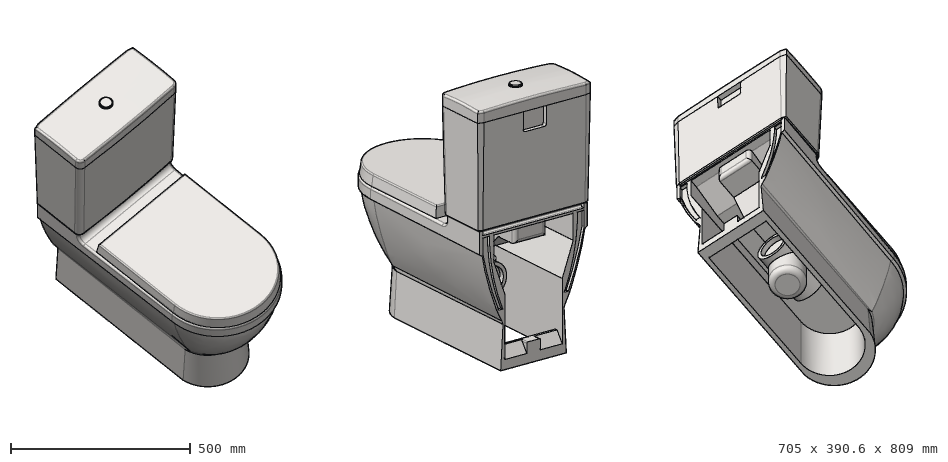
import cadquery as cq
import math


foot_top = 137.5
rim_bottom = 364.0
rim_top = 401.0
tank_bottom = 433.5
tank_top = 761.0
lid_height = 42.0
lid_top = tank_top + lid_height
total_height = 809.0

margin = 8.0

pan_back = 7.0
rim_tip = 705.0
rim_back_half = 187.0
rim_front_half = 179.5
rim_edge_round = 7.0
rim_underside_height = 6.0
rim_arc_start = rim_tip - rim_front_half
rim_plan = (rim_back_half, rim_front_half, rim_arc_start, rim_tip)
bowl_arc_start = 522.5
bowl_sections = [
    (rim_bottom - rim_underside_height, 178.0, 696.0),
    (313.0, 169.0, 691.5),
    (264.0, 155.0, 674.5),
    (214.0, 139.0, 650.0),
    (149.0, 110.0, 599.0),
]
foot_top_half = 106.0
foot_top_tip = 594.5
foot_half = 114.0
foot_tip = 603.0
foot_arc_start = 504.0
neck_front = 164.0
neck_round = 20.0
ledge_half = 175.5
ledge_depth = 14.0
ledge_floor = 420.0
ledge_round = 5.0

cavity_half = 137.5
cavity_top = 412.5
cavity_bend = 331.5
cavity_waist = 226.5
foot_cavity_half = 99.5
cavity_front = 372.0
foot_cavity_tip = 566.0
foot_cavity_arc_start = foot_cavity_tip - foot_cavity_half
roof_front = 385.0
roof_slope_start = 32.0
roof_slope_end = 129.0
belly_ridge = 226.5
belly_low_ridge = 267.0
belly_top = 335.0
slot_depth = 10.0
slot_top_outer = 175.5
slot_top_inner = 152.0
slot_shoulder = 384.0
slot_middle = 148.0
slot_middle_height = 287.0
slot_half_width = 9.0
slot_bottom = 183.5
slot_tip_outer = 120.5
slot_tip_inner = 107.0
inlet_back = 21.0
inlet_half = 56.0
inlet_bottom = 360.0
inlet_round = 12.0
inlet_tail_back = 97.0
inlet_tail_low = 145.5
inlet_tail_bottom = 311.0

outlet_diameter = 103.0
outlet_bore = 80.0
outlet_bore_depth = 16.0
outlet_back = 202.0
outlet_height = 184.0
trap_leg_bottom = 65.0
trap_leg_diameter = 107.0
trap_leg_round = 19.0

sill_height = 65.0
sill_step = 31.0
sill_slope_length = 24.0
sill_flat = 8.0
sill_block_half = 23.5
sill_block_round = 3.0

cover_back = 226.5
cover_tip = 702.0
cover_half = 175.5
cover_arc_start = cover_tip - cover_half
cover_height = 35.5
cover_draft = 5.0
cover_edge_round = 4.0

tank_back = 0.0
tank_front = 187.0
tank_half = 195.3
tank_base_back = 6.0
tank_base_front = 179.0
tank_base_half = 191.0
tank_bulge = 5.0
tank_back_bevel_depth = 5.0
tank_back_half = 177.0
tank_base_bevel = 3.0
tank_front_round = 19.0
finger_recess_width = 79.0
finger_recess_height = 61.5
finger_recess_depth = 10.0
finger_recess_round = 6.5
lid_crown = 4.0
lid_crown_radius = 1051.0
lid_edge_round = 6.5

button_x = 91.0
button_diameter = 40.0
button_cap_diameter = 34.0
button_seat = 792.5
button_step = 805.0


def d_outline(z, back, back_half, front_half, arc_start, tip):
    """Plan outline at height z: straight back, sides to arc_start, one arc round the front tip."""
    return (
        cq.Workplane("XY", origin=(0, 0, z))
        .moveTo(back, -back_half)
        .lineTo(arc_start, -front_half)
        .threePointArc((tip, 0), (arc_start, front_half))
        .lineTo(back, back_half)
        .close()
        .val()
    )


def loft(outlines, ruled=False):
    return cq.Workplane(obj=cq.Solid.makeLoft(outlines, ruled))


def box(x_range, half_width, z_range):
    """Box centred on Y between the given X and Z limits."""
    length = x_range[1] - x_range[0]
    height = z_range[1] - z_range[0]
    return (
        cq.Workplane("XY", origin=(x_range[0], 0, z_range[0]))
        .box(length, 2 * half_width, height, centered=(False, True, False))
    )


def side_prism(points, half_width):
    """Prism across Y from an XZ outline."""
    return cq.Workplane("XZ").polyline(points).close().extrude(half_width, both=True)


def rim_and_neck():
    """Rim with the raised neck that carries the tank, joined by a hollow round."""
    hollow = neck_round * (1 - math.sqrt(0.5))
    profile = (
        cq.Workplane("XZ")
        .moveTo(pan_back, rim_bottom)
        .lineTo(rim_tip, rim_bottom)
        .lineTo(rim_tip, rim_top)
        .lineTo(neck_front + neck_round, rim_top)
        .threePointArc((neck_front + hollow, rim_top + hollow), (neck_front, rim_top + neck_round))
        .lineTo(neck_front, tank_bottom)
        .lineTo(pan_back, tank_bottom)
        .close()
        .extrude(rim_back_half, both=True)
    )
    plan = loft([d_outline(z, pan_back, *rim_plan) for z in (rim_bottom, tank_bottom)], ruled=True)
    upper_edges = cq.selectors.BoxSelector(
        (neck_front - margin, -rim_back_half - margin, rim_top - margin),
        (rim_tip + margin, rim_back_half + margin, tank_bottom - margin),
    )
    return profile.intersect(plan).edges(upper_edges).edges("not |Y").fillet(rim_edge_round)


def bowl_outline(section):
    z, half, tip = section
    front_half = half * rim_front_half / rim_back_half
    return d_outline(z, pan_back, half, front_half, bowl_arc_start, tip)


def foot_outline(z, half, tip):
    return d_outline(z, pan_back, half, half, foot_arc_start, tip)


def pan_outside():
    """Rim, bowl and foot, with a narrow sloping band at the top and bottom of the bowl."""
    foot_base = foot_outline(0, foot_half, foot_tip)
    foot_crest = foot_outline(foot_top, foot_top_half, foot_top_tip)
    bowl = loft([bowl_outline(section) for section in bowl_sections])
    upper_band = loft([d_outline(rim_bottom, pan_back, *rim_plan), bowl_outline(bowl_sections[0])],
                      ruled=True)
    lower_band = loft([bowl_outline(bowl_sections[-1]), foot_crest], ruled=True)
    foot = loft([foot_crest, foot_base], ruled=True)
    return rim_and_neck().union(upper_band).union(bowl).union(lower_band).union(foot)


def back_ledge():
    """Notch along the upper back edge, under the tank."""
    notch = box((pan_back, pan_back + ledge_depth), ledge_half, (ledge_floor, tank_bottom))
    return notch.edges("|Y and >X and <Z").fillet(ledge_round)


def belly_outline(z, ridge):
    """Triangle at height z whose point is the ridge down the back of the bowl."""
    return (
        cq.Workplane("XY", origin=(0, 0, z))
        .polyline([(ridge, 0), (cavity_front, -cavity_half), (cavity_front, cavity_half)])
        .close()
        .val()
    )


def upper_cavity():
    """Hollow behind the bowl, with a sloping roof and a ridged bowl back."""
    hollow = (
        cq.Workplane("YZ", origin=(pan_back, 0, 0))
        .polyline([
            (-foot_cavity_half, cavity_waist), (foot_cavity_half, cavity_waist),
            (cavity_half, cavity_bend), (cavity_half, cavity_top),
            (-cavity_half, cavity_top), (-cavity_half, cavity_bend),
        ])
        .close()
        .extrude(cavity_front - pan_back)
    )
    roof = side_prism([(roof_slope_start, cavity_top), (roof_slope_end, roof_front),
                       (cavity_front, roof_front), (cavity_front, cavity_top)], cavity_half)
    belly = loft([belly_outline(cavity_waist, belly_low_ridge), belly_outline(belly_top, belly_ridge)],
                 ruled=True)
    return hollow.cut(roof).cut(belly)


def foot_cavity():
    """Hollow of the foot, open at the floor and the back."""
    plan = (foot_cavity_half, foot_cavity_half, foot_cavity_arc_start, foot_cavity_tip)
    return loft([d_outline(z, pan_back, *plan) for z in (0, cavity_waist)], ruled=True)


def wall_slot():
    """Curved slot in the back end of the +Y side wall."""
    return (
        cq.Workplane("YZ", origin=(pan_back, 0, 0))
        .moveTo(slot_top_outer, cavity_top)
        .lineTo(slot_top_outer, rim_bottom)
        .threePointArc((slot_middle + slot_half_width, slot_middle_height), (slot_tip_outer, slot_bottom))
        .lineTo(slot_tip_inner, slot_bottom)
        .threePointArc((slot_middle - slot_half_width, slot_middle_height), (slot_top_inner, slot_shoulder))
        .lineTo(slot_top_inner, cavity_top)
        .close()
        .extrude(slot_depth)
    )


def water_inlet():
    """Flush channel that hangs from the cavity roof."""
    channel = box((inlet_back, roof_slope_end), inlet_half, (inlet_bottom, cavity_top))
    channel = channel.edges("<X and (not >Z)").fillet(inlet_round)
    tail = side_prism([(inlet_tail_back, inlet_bottom), (inlet_tail_low, inlet_tail_bottom),
                       (belly_low_ridge, inlet_tail_bottom), (belly_low_ridge, roof_front),
                       (inlet_tail_back, roof_front)], inlet_half)
    return channel.union(tail)


def trap():
    """Horizontal outlet and the vertical leg below it."""
    pipe = (
        cq.Workplane("YZ", origin=(outlet_back, 0, 0))
        .center(0, outlet_height)
        .circle(outlet_diameter / 2)
        .extrude(cavity_front - outlet_back)
    )
    bore = (
        cq.Workplane("YZ", origin=(outlet_back, 0, 0))
        .center(0, outlet_height)
        .circle(outlet_bore / 2)
        .extrude(outlet_bore_depth)
    )
    leg_x = outlet_back + outlet_bore_depth + trap_leg_diameter / 2
    leg = (
        cq.Workplane("XY", origin=(leg_x, 0, trap_leg_bottom))
        .circle(trap_leg_diameter / 2)
        .extrude(cavity_waist - trap_leg_bottom)
        .faces("<Z")
        .edges()
        .fillet(trap_leg_round)
    )
    return pipe.union(leg).cut(bore)


def sill():
    """Bar across the back of the foot with a sloping top and a block in its middle."""
    slope_end = pan_back + sill_slope_length
    sill_front = slope_end + sill_flat
    bar = side_prism([(pan_back, 0), (pan_back, sill_step), (slope_end, sill_height),
                      (sill_front, sill_height), (sill_front, 0)], foot_cavity_half)
    block = box((pan_back, sill_front), sill_block_half, (0, sill_height))
    return bar.union(block.edges("|X and >Z").fillet(sill_block_round))


def make_pan():
    pan = pan_outside().cut(back_ledge()).cut(upper_cavity()).cut(foot_cavity())
    slot = wall_slot()
    pan = pan.cut(slot).cut(slot.mirror("XZ"))
    return pan.union(water_inlet()).union(trap()).union(sill())


def make_cover():
    bottom = d_outline(rim_top, cover_back, cover_half, cover_half, cover_arc_start, cover_tip)
    top_half = cover_half - cover_draft
    top = d_outline(rim_top + cover_height, cover_back + cover_draft, top_half, top_half,
                    cover_arc_start, cover_tip - cover_draft)
    return loft([bottom, top], ruled=True).faces(">Z").edges().fillet(cover_edge_round)


def tank_outline(z, back, front, half):
    """Plan outline of the tank at height z: bevelled back corners and a bulging front."""
    side_back = back + tank_back_bevel_depth
    side_front = front - tank_bulge
    return (
        cq.Workplane("XY", origin=(0, 0, z))
        .moveTo(back, -tank_back_half)
        .lineTo(side_back, -half)
        .lineTo(side_front, -half)
        .threePointArc((front, 0), (side_front, half))
        .lineTo(side_back, half)
        .lineTo(back, tank_back_half)
        .close()
        .val()
    )


def round_front_corners(body, bottom, top):
    """Round the two upright front corners of the tank or the lid."""
    middle = (bottom + top) / 2
    uprights = cq.selectors.BoxSelector(
        (button_x, -tank_half - margin, middle - margin),
        (tank_front + margin, tank_half + margin, middle + margin),
    )
    return body.edges(uprights).fillet(tank_front_round)


def make_tank():
    bottom = tank_outline(tank_bottom, tank_base_back, tank_base_front, tank_base_half)
    top = tank_outline(tank_top, tank_back, tank_front, tank_half)
    tank = loft([bottom, top], ruled=True)
    tank = round_front_corners(tank, tank_bottom, tank_top)
    tank = tank.faces("<Z").edges().chamfer(tank_base_bevel)
    recess = box((tank_back - margin, tank_base_back + finger_recess_depth), finger_recess_width / 2,
                 (tank_top - finger_recess_height, tank_top))
    return tank.cut(recess.edges("|X and <Z").fillet(finger_recess_round))


def make_lid():
    plan = (tank_back, tank_front, tank_half)
    lid = loft([tank_outline(z, *plan) for z in (tank_top, lid_top)], ruled=True)
    lid = round_front_corners(lid, tank_top, lid_top)
    middle_x = (tank_back + tank_front) / 2
    crown_axis = lid_top - lid_crown_radius
    crown = (
        cq.Workplane("YZ", origin=(middle_x, 0, 0))
        .moveTo(-tank_half, crown_axis)
        .lineTo(-tank_half, lid_top - lid_crown)
        .threePointArc((0, lid_top), (tank_half, lid_top - lid_crown))
        .lineTo(tank_half, crown_axis)
        .close()
        .revolve(360, (-tank_half, crown_axis), (tank_half, crown_axis))
    )
    lid = lid.intersect(crown)
    lid = lid.faces(">Z").edges().fillet(lid_edge_round)
    pocket = (
        cq.Workplane("XY", origin=(button_x, 0, button_seat))
        .circle(button_diameter / 2)
        .extrude(lid_height)
    )
    return lid.cut(pocket)


def make_button():
    return (
        cq.Workplane("XY", origin=(button_x, 0, button_seat))
        .circle(button_diameter / 2)
        .extrude(button_step - button_seat)
        .faces(">Z")
        .workplane()
        .circle(button_cap_diameter / 2)
        .extrude(total_height - button_step)
    )


pan = make_pan()
cover = make_cover()
tank = make_tank()
lid = make_lid()
button = make_button()

result = cq.Compound.makeCompound([pan.val(), cover.val(), tank.val(), lid.val(), button.val()])